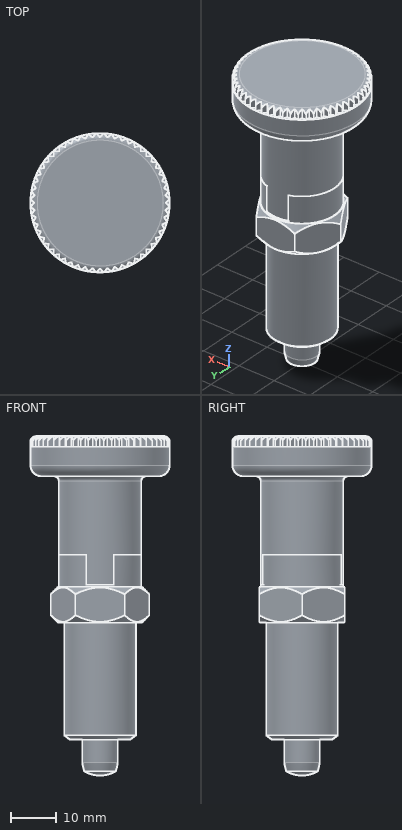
import cadquery as cq
import math


overall_height = 75.5
pin_length = 8.0
sleeve_length = 26.0
hex_height = 8.0
collar_height = 7.1
knob_head_height = 9.0

sleeve_bottom = pin_length
hex_bottom = sleeve_bottom + sleeve_length
hex_top = hex_bottom + hex_height
collar_top = hex_top + collar_height
knob_head_bottom = overall_height - knob_head_height

pin_radius = 4.0
pin_taper_height = 2.0
pin_dome_height = 1.0
pin_dome_radius = 3.55
pin_taper_bulge = 0.04

sleeve_radius = 8.0
sleeve_chamfer_height = 1.0
sleeve_chamfer_width = 1.3

hex_across_flats = 19.0
hex_across_corners = hex_across_flats / math.cos(math.pi / 6)
hex_face_radius = 9.3
hex_chamfer = hex_across_corners / 2 - hex_face_radius

collar_radius = 9.2
key_width = 6.1
key_floor_gap = 0.4
key_floor = hex_top + key_floor_gap
key_height = collar_top - key_floor

knob_radius = 15.5
knob_top_radius = 14.0
knob_bottom_fillet = 2.5
neck_fillet = 1.0

knurl_height = 2.4
groove_count = 56
knurl_crest_radius = knob_radius
knurl_top_fillet = 1.6
half_pitch = math.pi / groove_count
groove_root_radius = knurl_crest_radius * (math.cos(half_pitch) - math.sin(half_pitch))
knurl_bottom = overall_height - knurl_height


def cylinder(radius, bottom, top):
    """Upright cylinder on the plunger axis."""
    return cq.Workplane("XY").workplane(offset=bottom).circle(radius).extrude(top - bottom)


def cross_key():
    """Flat bar along Y that spans the collar and has round ends flush with it."""
    bar = (
        cq.Workplane("XY")
        .workplane(offset=key_floor)
        .rect(key_width, hex_across_corners)
        .extrude(key_height)
    )
    return bar.intersect(cylinder(collar_radius, key_floor, collar_top))


def pin_and_threaded_sleeve():
    """Pin with a domed, rounded tip, stepping out to the chamfered sleeve."""
    taper_top = pin_dome_height + pin_taper_height
    taper_mid_radius = (pin_radius + pin_dome_radius) / 2 + pin_taper_bulge
    taper_mid_height = pin_dome_height + pin_taper_height / 2
    dome_sphere_radius = (pin_dome_radius**2 + pin_dome_height**2) / (2 * pin_dome_height)
    dome_mid_radius = pin_dome_radius / 2
    dome_mid_height = dome_sphere_radius - math.sqrt(dome_sphere_radius**2 - dome_mid_radius**2)
    return (
        cq.Workplane("XZ")
        .moveTo(0, 0)
        .threePointArc((dome_mid_radius, dome_mid_height), (pin_dome_radius, pin_dome_height))
        .threePointArc((taper_mid_radius, taper_mid_height), (pin_radius, taper_top))
        .lineTo(pin_radius, sleeve_bottom)
        .lineTo(sleeve_radius - sleeve_chamfer_width, sleeve_bottom)
        .lineTo(sleeve_radius, sleeve_bottom + sleeve_chamfer_height)
        .lineTo(sleeve_radius, hex_bottom)
        .lineTo(0, hex_bottom)
        .close()
        .revolve(360, (0, 0), (0, 1))
    )


def chamfered_hexagon():
    """Hexagon with corners on the X axis, turned down conically at both ends."""
    prism = (
        cq.Workplane("XY")
        .workplane(offset=hex_bottom)
        .polygon(6, hex_across_corners)
        .extrude(hex_height)
    )
    turned_blank = (
        cylinder(hex_across_corners / 2, hex_bottom, hex_top)
        .edges("%CIRCLE").chamfer(hex_chamfer)
    )
    return prism.intersect(turned_blank)


def make_sleeve():
    """Guide sleeve with pin, hexagon and slotted collar."""
    collar = cylinder(collar_radius, hex_top, collar_top)
    solid = pin_and_threaded_sleeve().union(chamfered_hexagon()).union(collar)
    return solid.cut(cross_key())


def polar_point(radius, angle):
    """Plane point at a radius and an angle in radians."""
    return (radius * math.cos(angle), radius * math.sin(angle))


def knurl_outline():
    """Closed star outline alternating between groove roots and crests."""
    points = []
    for i in range(groove_count):
        root_angle = 2 * i * half_pitch
        points.append(polar_point(groove_root_radius, root_angle))
        points.append(polar_point(knurl_crest_radius, root_angle + half_pitch))
    return points


def knurled_rim():
    """Toothed disc on top of the head, rounded off over the tooth ends up to the flat top."""
    toothed_disc = (
        cq.Workplane("XY")
        .workplane(offset=knurl_bottom)
        .polyline(knurl_outline())
        .close()
        .extrude(knurl_height)
    )
    rounded_blank = (
        cylinder(knob_top_radius + knurl_top_fillet, knurl_bottom, overall_height)
        .faces(">Z").edges().fillet(knurl_top_fillet)
    )
    return toothed_disc.intersect(rounded_blank)


def knob_head():
    """Smooth band rounded at its lower edge, carrying the knurled rim."""
    band = (
        cylinder(knob_radius, knob_head_bottom, knurl_bottom)
        .faces("<Z").edges().fillet(knob_bottom_fillet)
    )
    return band.union(knurled_rim())


def knob_neck():
    """Neck from the collar up to the head, with a concave fillet under the head."""
    fillet_offset = neck_fillet * (1 - math.sqrt(0.5))
    return (
        cq.Workplane("XZ")
        .moveTo(0, collar_top)
        .lineTo(collar_radius, collar_top)
        .lineTo(collar_radius, knob_head_bottom - neck_fillet)
        .threePointArc(
            (collar_radius + fillet_offset, knob_head_bottom - fillet_offset),
            (collar_radius + neck_fillet, knob_head_bottom),
        )
        .lineTo(0, knob_head_bottom)
        .close()
        .revolve(360, (0, 0), (0, 1))
    )


def make_knob():
    """Pull knob with neck and the key that drops into the collar slot."""
    return knob_head().union(knob_neck()).union(cross_key())


sleeve = make_sleeve()
knob = make_knob()

result = cq.Compound.makeCompound([sleeve.val(), knob.val()])